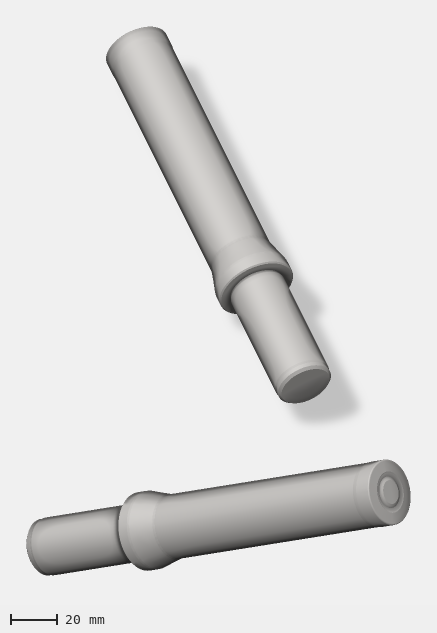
import cadquery as cq

total_length = 194.0
grip_length = 138.3

grip_diameter = 28.0
head_diameter = 28.3
flange_diameter = 34.0
cone_height = 0.5
head_edge_fillet = 0.5
head_end = 7.5
head_taper_end = 9.5
flare_start = 120.7
flare_end = 132.5
flare_blend = 4.8
flange_chamfer = 0.5

groove_outer_diameter = 17.8
groove_wall_bottom_diameter = 16.9
groove_middle_diameter = 13.5
disc_diameter = 10.3
groove_rim_depth = 0.2
groove_depth = 0.4

shaft_diameter = 25.0
relief_diameter = 24.5
relief_length = 0.4
shaft_taper_length = 1.0
pilot_length = 3.1
tip_chamfer = 1.2


def revolve_about_x(profile):
    """Revolve a closed XY half profile into a solid of revolution about X."""
    return profile.revolve(360, (0, 0, 0), (1, 0, 0))


def ring_edge(x, diameter):
    """Select the circular edge centred on the axis at x with this diameter."""
    margin = 0.1
    reach = diameter / 2 + margin
    return cq.selectors.BoxSelector(
        (x - margin, -reach, -reach), (x + margin, reach, reach), boundingbox=True
    )


def make_end_groove():
    """Ring cutter with a V-shaped floor between the groove rim and the disc."""
    rim_x = cone_height * (groove_outer_diameter - disc_diameter) / (head_diameter - disc_diameter)
    wall_x = rim_x + groove_rim_depth
    profile = (
        cq.Workplane("XY")
        .moveTo(-cone_height, groove_outer_diameter / 2)
        .lineTo(-cone_height, disc_diameter / 2)
        .lineTo(0, disc_diameter / 2)
        .lineTo(wall_x + groove_depth, groove_middle_diameter / 2)
        .lineTo(wall_x, groove_wall_bottom_diameter / 2)
        .lineTo(rim_x, groove_outer_diameter / 2)
        .close()
    )
    return revolve_about_x(profile)


def make_grip():
    """Grip with a coned head, a plain barrel and a flared flange."""
    head_radius = head_diameter / 2
    grip_radius = grip_diameter / 2
    flange_radius = flange_diameter / 2
    profile = (
        cq.Workplane("XY")
        .moveTo(0, 0)
        .lineTo(0, disc_diameter / 2)
        .lineTo(cone_height, head_radius)
        .lineTo(head_end, head_radius)
        .lineTo(head_taper_end, grip_radius)
        .lineTo(flare_start, grip_radius)
        .lineTo(flare_end, flange_radius)
        .lineTo(grip_length - flange_chamfer, flange_radius)
        .lineTo(grip_length, flange_radius - flange_chamfer)
        .lineTo(grip_length, 0)
        .close()
    )
    grip = revolve_about_x(profile)
    grip = grip.edges(ring_edge(cone_height, head_diameter)).fillet(head_edge_fillet)
    grip = grip.edges(ring_edge(flare_start, grip_diameter)).fillet(flare_blend)
    grip = grip.edges(ring_edge(flare_end, flange_diameter)).fillet(flare_blend)
    return cq.Workplane(grip.cut(make_end_groove()).solids().val())


def make_shaft():
    """Shaft seated on the flange, with a relief neck and a reduced pilot tip."""
    shaft_radius = shaft_diameter / 2
    relief_radius = relief_diameter / 2
    neck_end = grip_length + relief_length
    pilot_start = total_length - pilot_length
    profile = (
        cq.Workplane("XY")
        .moveTo(grip_length, 0)
        .lineTo(grip_length, relief_radius)
        .lineTo(neck_end, relief_radius)
        .lineTo(neck_end + shaft_taper_length, shaft_radius)
        .lineTo(pilot_start - shaft_taper_length, shaft_radius)
        .lineTo(pilot_start, relief_radius)
        .lineTo(total_length - tip_chamfer, relief_radius)
        .lineTo(total_length, relief_radius - tip_chamfer)
        .lineTo(total_length, 0)
        .close()
    )
    return revolve_about_x(profile)


grip = make_grip()
shaft = make_shaft()
result = cq.Compound.makeCompound([grip.val(), shaft.val()])